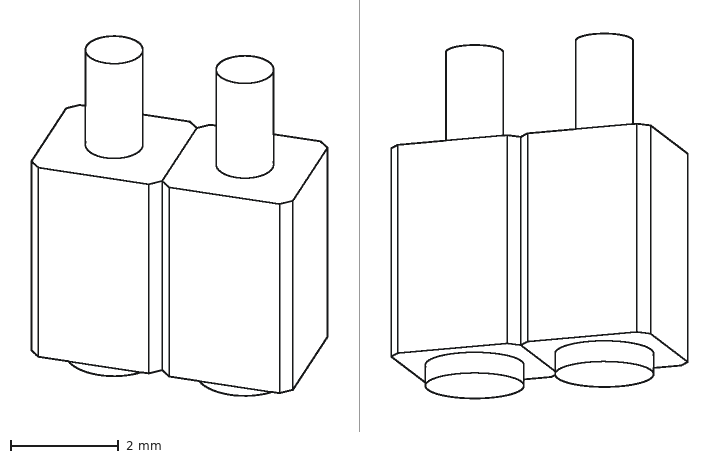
import cadquery as cq

total_height = 6.4
block_width = 2.54
corner_chamfer = 0.2
foot_height = 0.4
foot_diameter = 1.83
pin_length = 2.0
pin_diameter = 1.07
contact_count = 2

block_height = total_height - foot_height - pin_length
block_top = foot_height + block_height


def make_contact(center_x):
    """One contact: a round foot, a chamfered square block and a round pin on a common axis."""
    foot = cq.Workplane("XY").circle(foot_diameter / 2).extrude(foot_height)
    block = (
        cq.Workplane("XY")
        .workplane(offset=foot_height)
        .rect(block_width, block_width)
        .extrude(block_height)
        .edges("|Z")
        .chamfer(corner_chamfer)
    )
    pin = (
        cq.Workplane("XY")
        .workplane(offset=block_top)
        .circle(pin_diameter / 2)
        .extrude(pin_length)
    )
    return block.union(foot).union(pin).translate((center_x, 0, 0))


contacts = []
for index in range(contact_count):
    center_x = (index - (contact_count - 1) / 2) * block_width
    contacts.append(make_contact(center_x))

result = cq.Compound.makeCompound([contact.val() for contact in contacts])